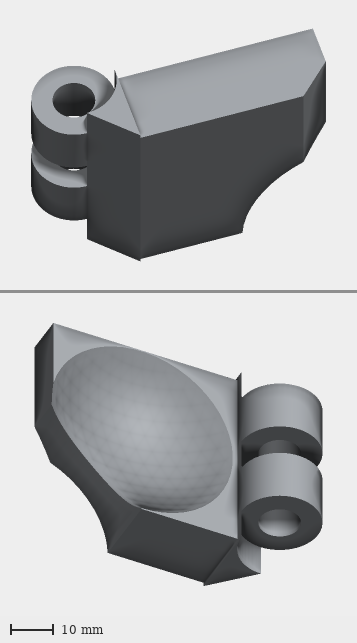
import cadquery as cq

height = 50.0
length = 68.0
width = 30.0
bore_diameter = 10.0
barrel_diameter = 2 * bore_diameter
barrel_radius = barrel_diameter / 2
knuckle_height = 13.0
knuckle_count = 2
knuckle_gap = (height - knuckle_count * knuckle_height) / (knuckle_count + 1)

block_thickness = 18.0
block_height = 48.0
block_margin = (height - block_height) / 2
block_length = length - barrel_diameter
corner_chamfer = 8.0

face_radius = 23.7
sphere_offset = 18.0
sphere_radius = (face_radius**2 + sphere_offset**2) ** 0.5
opening_radius = height / 2
opening_offset = 2.0

block_right = width - barrel_radius
block_left = block_right - block_thickness
block_back = length - barrel_radius
opening_y = block_back + opening_offset
sphere_y = opening_y - opening_radius
sphere_z = height / 2


def make_block():
    """Rectangular block with one chamfered vertical corner."""
    block = cq.Workplane("XY", origin=(block_left, barrel_radius, block_margin)).box(
        block_thickness, block_length, block_height, centered=False
    )
    return block.edges("|Z and >X and >Y").chamfer(corner_chamfer)


def make_web():
    """Triangular web hollowed around the hinge axis."""
    web = (
        cq.Workplane("XY")
        .moveTo(0, barrel_radius)
        .lineTo(block_right, barrel_radius)
        .lineTo(barrel_radius, 0)
        .lineTo(0, 0)
        .close()
        .extrude(height)
    )
    return web.cut(cq.Workplane("XY").circle(barrel_radius).extrude(height))


def make_knuckle(bottom):
    """Solid hinge barrel, overlapping the concave face of the web."""
    return cq.Workplane("XY", origin=(0, 0, bottom)).circle(barrel_radius).extrude(knuckle_height)


cavity = cq.Workplane("XY", origin=(block_left - sphere_offset, sphere_y, sphere_z)).sphere(sphere_radius)
opening = (
    cq.Workplane("YZ", origin=(block_left, opening_y, 0))
    .circle(opening_radius)
    .extrude(block_thickness)
)
pin_hole = cq.Workplane("XY").circle(bore_diameter / 2).extrude(height)

result = make_block().cut(cavity).cut(opening).union(make_web())
for index in range(knuckle_count):
    bottom = knuckle_gap + index * (knuckle_height + knuckle_gap)
    result = result.union(make_knuckle(bottom))
result = result.cut(pin_hole)